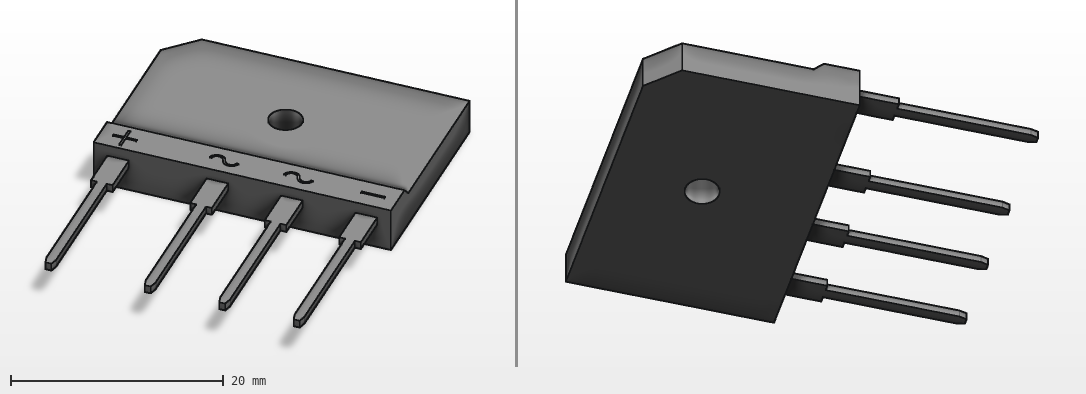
import cadquery as cq
import math

HOUSING_WIDTH = 30.0
HOUSING_HEIGHT = 4.6
TOTAL_LENGTH = 38.3
LEAD_LENGTH = 18.0
HOUSING_DEPTH = TOTAL_LENGTH - LEAD_LENGTH
STEP_DROP = 1.0
SHELF_DEPTH = 3.5
CORNER_CHAMFER = 3.0
HOLE_DIAMETER = 3.3
HOLE_FROM_BACK = 9.1

LEAD_PITCH = 7.5
WIDE_PITCH = LEAD_PITCH * 4 / 3
LAST_LEAD_X = (WIDE_PITCH + 2 * LEAD_PITCH) / 2
LEAD_XS = [-LAST_LEAD_X, -LAST_LEAD_X + WIDE_PITCH, LAST_LEAD_X - LEAD_PITCH, LAST_LEAD_X]
POSITIVE_X, FIRST_AC_X, SECOND_AC_X, NEGATIVE_X = LEAD_XS
LEAD_THICKNESS = 0.8
LEAD_BELOW_SHELF = 1.2
LEAD_TOP_Z = HOUSING_HEIGHT - LEAD_BELOW_SHELF
SHOULDER_WIDTH = 2.2
SHOULDER_LENGTH = 4.2
PIN_WIDTH = 1.0
TIP_WIDTH = 0.6
TIP_LENGTH = 0.75

MARK_Y = SHELF_DEPTH / 2
MARK_DEPTH = 0.1
MARK_STROKE = 0.23
BAR_LENGTH = 2.37
WAVE_HALF_CHORD = 0.7
WAVE_RISE = 0.55


def box_mark(x, size_x, size_y):
    """A straight bar whose top is flush with the shelf."""
    return (
        cq.Workplane("XY", origin=(x, MARK_Y, HOUSING_HEIGHT - MARK_DEPTH))
        .rect(size_x, size_y)
        .extrude(MARK_DEPTH)
    )


def make_minus_mark():
    return box_mark(NEGATIVE_X, BAR_LENGTH, MARK_STROKE)


def make_plus_mark():
    across = box_mark(POSITIVE_X, BAR_LENGTH, MARK_STROKE)
    along = box_mark(POSITIVE_X, MARK_STROKE, BAR_LENGTH)
    return across.union(along)


def make_wave_mark(x):
    """A tilde: an arched hump followed by the same hump turned upside down."""
    radius = (WAVE_HALF_CHORD**2 + WAVE_RISE**2) / (2 * WAVE_RISE)
    half_angle = math.asin(WAVE_HALF_CHORD / radius)
    outer = radius + MARK_STROKE / 2
    inner = radius - MARK_STROKE / 2

    def arc_point(side, distance, angle):
        """A point of the left (-1) or right (+1) hump, by angle from its crest."""
        centre_x = side * WAVE_HALF_CHORD
        centre_y = side * (radius - WAVE_RISE)
        return (centre_x + distance * math.sin(angle), centre_y - side * distance * math.cos(angle))

    return (
        cq.Workplane("XY", origin=(x, MARK_Y, HOUSING_HEIGHT - MARK_DEPTH))
        .moveTo(*arc_point(-1, outer, -half_angle))
        .threePointArc(arc_point(-1, outer, 0), arc_point(-1, outer, half_angle))
        .threePointArc(arc_point(1, inner, 0), arc_point(1, inner, half_angle))
        .lineTo(*arc_point(1, outer, half_angle))
        .threePointArc(arc_point(1, outer, 0), arc_point(1, outer, -half_angle))
        .threePointArc(arc_point(-1, inner, 0), arc_point(-1, inner, -half_angle))
        .close()
        .extrude(MARK_DEPTH)
    )


def make_lead(x):
    """A flat lead: wide shoulder, narrow pin and tapered tip."""
    half_outline = [
        (SHOULDER_WIDTH / 2, 0),
        (SHOULDER_WIDTH / 2, -SHOULDER_LENGTH),
        (PIN_WIDTH / 2, -SHOULDER_LENGTH),
        (PIN_WIDTH / 2, TIP_LENGTH - LEAD_LENGTH),
        (TIP_WIDTH / 2, -LEAD_LENGTH),
    ]
    mirrored = [(-px, py) for px, py in reversed(half_outline)]
    return (
        cq.Workplane("XY", origin=(x, 0, LEAD_TOP_Z - LEAD_THICKNESS))
        .polyline(half_outline + mirrored)
        .close()
        .extrude(LEAD_THICKNESS)
    )


def make_housing(marks):
    """A plate with a raised shelf, a cut corner, a mounting hole and recesses for the marks."""
    plate_top = HOUSING_HEIGHT - STEP_DROP
    profile = [
        (0, 0),
        (HOUSING_DEPTH, 0),
        (HOUSING_DEPTH, plate_top),
        (SHELF_DEPTH + STEP_DROP, plate_top),
        (SHELF_DEPTH, HOUSING_HEIGHT),
        (0, HOUSING_HEIGHT),
    ]
    body = (
        cq.Workplane("YZ", origin=(-HOUSING_WIDTH / 2, 0, 0))
        .polyline(profile)
        .close()
        .extrude(HOUSING_WIDTH)
        .edges("|Z and <X and >Y")
        .chamfer(CORNER_CHAMFER)
    )
    hole = (
        cq.Workplane("XY", origin=(0, HOUSING_DEPTH - HOLE_FROM_BACK, 0))
        .circle(HOLE_DIAMETER / 2)
        .extrude(plate_top)
    )
    body = body.cut(hole)
    for mark in marks:
        body = body.cut(mark)
    return body


plus_mark = make_plus_mark()
wave_marks = [make_wave_mark(x) for x in (FIRST_AC_X, SECOND_AC_X)]
minus_mark = make_minus_mark()
marks = [plus_mark, *wave_marks, minus_mark]
leads = [make_lead(x) for x in LEAD_XS]
housing = make_housing(marks)

result = cq.Compound.makeCompound([body.val() for body in [housing, *leads, *marks]])